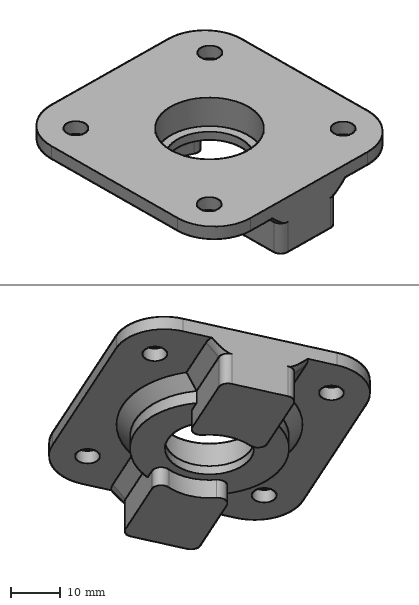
import cadquery as cq
import math

plate_length = 57.0
plate_width = 54.2
plate_thickness = 3.15
plate_corner_radius = 10.45

mounting_hole_diameter = 5.0
mounting_hole_spacing = 38.2

total_height = 13.5
hub_diameter = 32.15
hub_height = 2.95
flare_height = 2.95
flare_spread = 2.75
foot_width = 16.2
foot_corner_radius = 2.0

bore_diameter = 18.0
recess_diameter = 22.0
recess_depth = 7.0

foot_gap_diameter = recess_diameter

flare_bottom = -plate_thickness - flare_height
hub_bottom = flare_bottom - hub_height
foot_height = total_height - plate_thickness - flare_height
flare_angle = math.degrees(math.atan(flare_spread / flare_height))


def make_plate():
    plate = cq.Workplane("XY").rect(plate_length, plate_width).extrude(-plate_thickness)
    return plate.edges("|Z").fillet(plate_corner_radius)


def make_flare():
    """Sloped hub and foot bar, widening upward and trimmed to the plate ends."""
    base = cq.Workplane("XY").workplane(offset=flare_bottom)
    cone = base.circle(hub_diameter / 2).extrude(flare_height, taper=-flare_angle)
    bar_outline = cq.Sketch().rect(plate_length, foot_width).vertices().fillet(foot_corner_radius)
    bar = base.placeSketch(bar_outline).extrude(flare_height, taper=-flare_angle)
    envelope = base.rect(plate_length, plate_width).extrude(flare_height)
    return cone.union(bar).intersect(envelope)


def make_hub():
    return cq.Workplane("XY").workplane(offset=hub_bottom).circle(hub_diameter / 2).extrude(hub_height)


def downward_hole(diameter, depth):
    return cq.Workplane("XY").circle(diameter / 2).extrude(-depth)


def make_feet():
    """Two feet left from one bar, split by a round gap concentric with the bore."""
    bar = cq.Workplane("XY").workplane(offset=-total_height).rect(plate_length, foot_width).extrude(foot_height)
    feet = bar.cut(downward_hole(foot_gap_diameter, total_height))
    return feet.edges("|Z").fillet(foot_corner_radius)


body = make_plate().union(make_flare()).union(make_hub()).union(make_feet())

body = body.cut(downward_hole(bore_diameter, -hub_bottom))
body = body.cut(downward_hole(recess_diameter, recess_depth))

mounting_holes = (
    cq.Workplane("XY")
    .rect(mounting_hole_spacing, mounting_hole_spacing, forConstruction=True)
    .vertices()
    .circle(mounting_hole_diameter / 2)
    .extrude(-plate_thickness)
)
result = body.cut(mounting_holes)